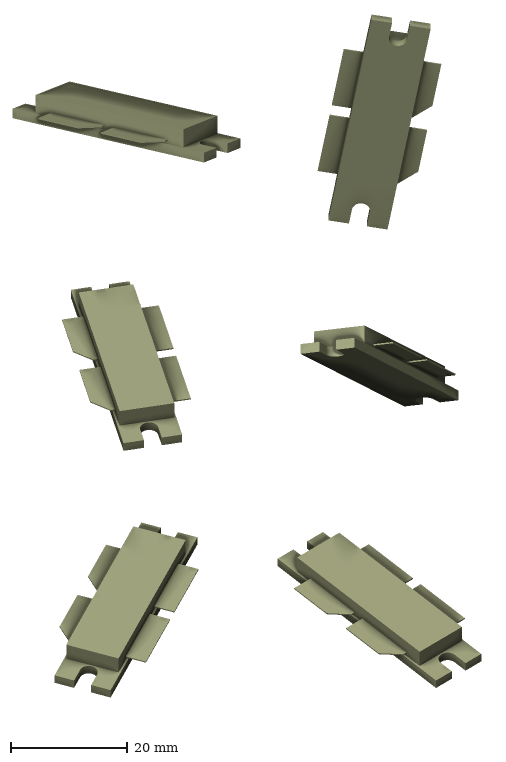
import cadquery as cq

flange_length = 41.3
flange_width = 10.32
flange_thickness = 1.75

slot_width = 3.15
slot_depth = 4.4

body_length = 31.95
body_width = 9.62
overall_height = 5.0

lead_span = 17.0
lead_width = 11.5
lead_pitch = 13.55
lead_thickness = 0.25
lead_bottom = 2.25
lead_corner_cut = 2.97


def make_flange():
    """Plate with a round-bottomed slot cut into each end."""
    flange = cq.Workplane("XY").box(
        flange_length, flange_width, flange_thickness, centered=(True, True, False)
    )
    slots = (
        cq.Workplane("XY")
        .pushPoints([(-flange_length / 2, 0), (flange_length / 2, 0)])
        .slot2D(2 * slot_depth, slot_width)
        .extrude(flange_thickness)
    )
    return flange.cut(slots)


def make_body():
    """Rectangular package block on top of the flange."""
    body_height = overall_height - flange_thickness
    return (
        cq.Workplane("XY")
        .workplane(offset=flange_thickness)
        .box(body_length, body_width, body_height, centered=(True, True, False))
    )


def make_lead_pair(center_x):
    """Strip through the body forming two opposite leads; the -Y lead has its +X corner cut off."""
    strip = (
        cq.Workplane("XY")
        .workplane(offset=lead_bottom)
        .center(center_x, 0)
        .box(lead_width, lead_span, lead_thickness, centered=(True, True, False))
    )
    return strip.edges("|Z").edges(">X").edges("<Y").chamfer(lead_corner_cut)


result = make_flange().union(make_body())
for side in (-1, 1):
    result = result.union(make_lead_pair(side * lead_pitch / 2))